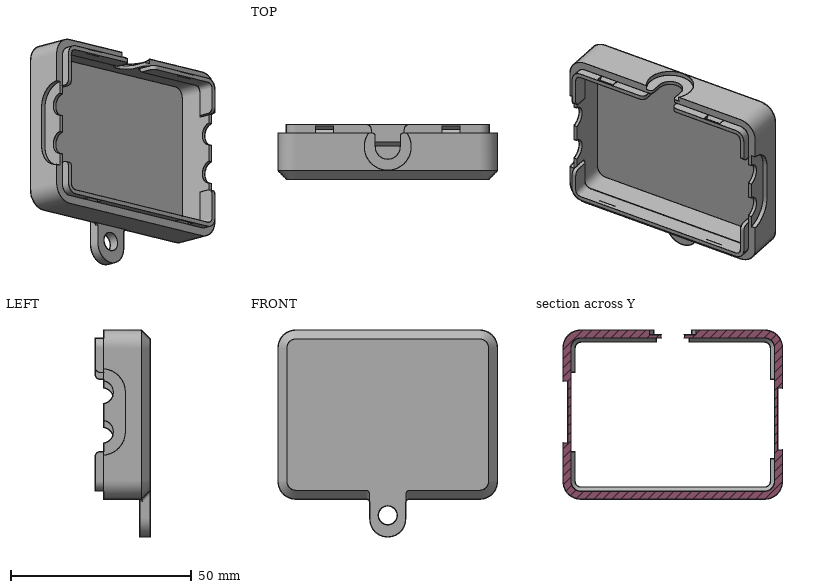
import cadquery as cq
import math

length = 61.0
height = 47.05
shoulder_y = 13.0
rim_y = 15.4
corner_radius = 5.0
front_chamfer = 2.5

wall = 2.25

lip_thickness = 1.15
lip_inner_inset = wall + lip_thickness
lip_foot_y = 9.35
lip_corner_radius = 1.45

catch_length = 5.0
catch_offset = 17.55
catch_depth = 1.0
catch_y = shoulder_y + catch_depth

recess_depth = 1.3
recess_radius = 6.5

top_notch_radius = 3.5
top_notch_y = 9.15
top_notch_edge_radius = 0.9
top_lip_gap = 9.15

side_notch_radius = 3.2
side_notch_y = 13.5
side_notch_spacing = 11.0
side_lip_gap = 21.95
left_notches_z = 0.75
right_notches_z = -1.2

tab_radius = 5.0
tab_thickness = 3.0
tab_end_z = height / 2 - 57.5
tab_hole_diameter = 5.2
tab_hole_z = tab_end_z + 6.05
tab_fillet = 1.0
tab_overlap = 0.6

margin = 0.05
cut_reach = lip_inner_inset + 0.6


def rounded_block(inset, y_start, y_end):
    """Block parallel to the case outline, moved inwards by inset."""
    return (
        cq.Workplane("XY")
        .box(length - 2 * inset, y_end - y_start, height - 2 * inset)
        .translate((0, (y_start + y_end) / 2, 0))
        .edges("|Y")
        .fillet(corner_radius - inset)
    )


def outer_body():
    """Chamfered block with the mounting tab blended into its lower side."""
    block = rounded_block(0, 0, shoulder_y).faces("<Y").chamfer(front_chamfer)
    tab_center_z = tab_end_z + tab_radius
    tab_root_z = front_chamfer - height / 2 + tab_overlap
    tab = (
        cq.Workplane("XZ")
        .moveTo(-tab_radius, tab_root_z)
        .lineTo(-tab_radius, tab_center_z)
        .threePointArc((0, tab_end_z), (tab_radius, tab_center_z))
        .lineTo(tab_radius, tab_root_z)
        .close()
        .extrude(-tab_thickness)
    )
    body = block.union(tab)
    for side in (-1, 1):
        joint = cq.selectors.BoxSelector(
            (side * tab_radius - margin, -margin, -height / 2 - margin),
            (side * tab_radius + margin, tab_thickness - margin, front_chamfer - height / 2 - margin),
        )
        body = body.edges(joint).fillet(tab_fillet)
    hole = (
        cq.Workplane("XZ", origin=(0, 0, tab_hole_z))
        .circle(tab_hole_diameter / 2)
        .extrude(-tab_thickness)
    )
    return body.cut(hole)


def lip_ring():
    """Lip with a sloped foot that overhangs from the inside of the wall."""
    ring = rounded_block(wall, lip_foot_y, rim_y)
    below_slope = rounded_block(wall, 0, lip_foot_y + lip_thickness)
    below_slope = below_slope.faces(">Y").chamfer(lip_thickness)
    return ring.cut(below_slope).cut(rounded_block(lip_inner_inset, lip_foot_y, rim_y))


def catch_groove(x, side):
    """V groove in the outer lip face, on the upper (side 1) or lower (side -1) edge."""
    lip_z = side * (height / 2 - wall)
    return (
        cq.Workplane("YZ", origin=(x - catch_length / 2, 0, 0))
        .moveTo(catch_y - catch_depth, lip_z)
        .lineTo(catch_y, lip_z - side * catch_depth)
        .lineTo(catch_y + catch_depth, lip_z)
        .close()
        .extrude(catch_length)
    )


def rounded_slot(width, y_low, y_high, edge_radius):
    """Slot cutter along Z whose mouth at y_high flares out over rounded edges."""
    half = width / 2
    corner = edge_radius * (1 - math.sqrt(0.5))
    return (
        cq.Workplane("XY")
        .moveTo(-half, y_low)
        .lineTo(-half, y_high - edge_radius)
        .threePointArc((-half - corner, y_high - corner), (-half - edge_radius, y_high))
        .lineTo(half + edge_radius, y_high)
        .threePointArc((half + corner, y_high - corner), (half, y_high - edge_radius))
        .lineTo(half, y_low)
        .close()
        .extrude(cut_reach)
    )


def notch(radius, x, y):
    """Round wall cutter along Z."""
    return cq.Workplane("XY", origin=(x, y, 0)).circle(radius).extrude(cut_reach)


def collar_recess(spacing, y):
    """Shallow recess around the notches, in the outermost layer of the wall."""
    base = cq.Workplane("XY", origin=(0, y, cut_reach - recess_depth))
    if spacing > 0:
        return base.slot2D(spacing + 2 * recess_radius, 2 * recess_radius).extrude(recess_depth)
    return base.circle(recess_radius).extrude(recess_depth)


def top_cutter():
    """Single U-shaped cable opening with its recess."""
    mouth = rounded_slot(2 * top_notch_radius, top_notch_y, shoulder_y, top_notch_edge_radius)
    return mouth.union(notch(top_notch_radius, 0, top_notch_y)).union(collar_recess(0, top_notch_y))


def side_cutter():
    """Two cable notches side by side in a shared recess."""
    cutter = collar_recess(side_notch_spacing, side_notch_y)
    for x in (-side_notch_spacing / 2, side_notch_spacing / 2):
        cutter = cutter.union(notch(side_notch_radius, x, side_notch_y))
    return cutter


def on_top(cutter):
    """Move a cutter to the +Z wall."""
    return cutter.translate((0, 0, height / 2 - cut_reach))


def on_side(cutter, side, z):
    """Turn a cutter into the +X (side 1) or -X (side -1) wall, centred at height z."""
    moved = cutter.translate((0, 0, length / 2 - cut_reach))
    return moved.rotate((0, 0, 0), (0, 1, 0), side * 90).translate((0, 0, z))


side_openings = ((-1, left_notches_z), (1, right_notches_z))

shell = outer_body().cut(rounded_block(wall, wall, shoulder_y))
shell = shell.cut(on_top(top_cutter()))
for side, z in side_openings:
    shell = shell.cut(on_side(side_cutter(), side, z))

lip = lip_ring()
lip = lip.cut(on_top(rounded_slot(top_lip_gap, lip_foot_y, rim_y, lip_corner_radius)))
for side, z in side_openings:
    side_gap = rounded_slot(side_lip_gap, lip_foot_y, rim_y, lip_corner_radius)
    lip = lip.cut(on_side(side_gap, side, z))
for x in (-catch_offset, catch_offset):
    for side in (-1, 1):
        lip = lip.cut(catch_groove(x, side))

result = shell.union(lip)